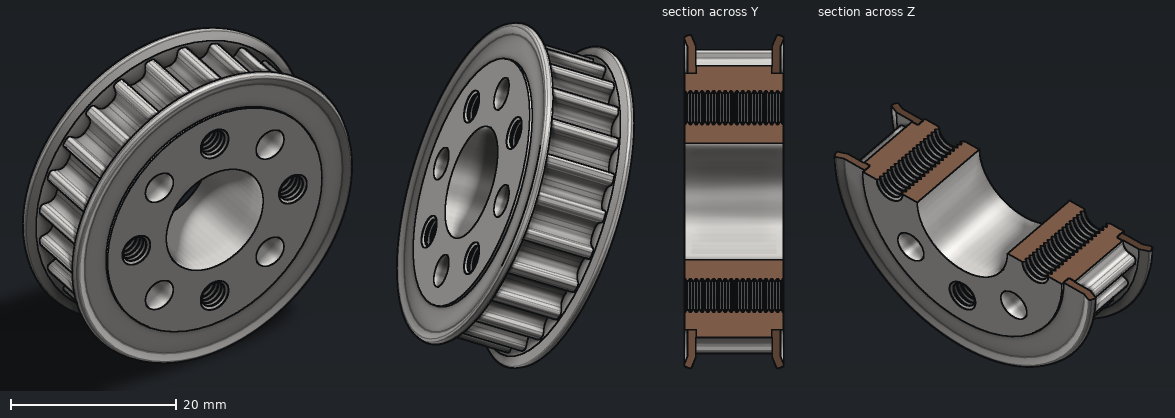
import cadquery as cq
import math

TOOTH_COUNT = 24
TIP_RADIUS = 18.52
GROOVE_DEPTH = 2.05
GROOVE_FLOOR_HALF_WIDTH = 0.32
GROOVE_CORNER_RADIUS = 1.2
GROOVE_WALL_DRAFT = 11.0
TIP_FILLET = 0.5
RIM_WIDTH = 9.25
BODY_WIDTH = 11.97
BOSS_RADIUS = 15.55
BORE_RADIUS = 7.05

OVERALL_WIDTH = 12.1
FLANGE_RADIUS = 20.2
SHEET = 1.0
BEND_ANGLE = 22.5
BEND_RADIUS = 0.32
EDGE_FILLET = 0.3

BOLT_CIRCLE_RADIUS = 11.35
HOLE_COUNT = 4
PLAIN_HOLE_RADIUS = 2.02
THREAD_MINOR_RADIUS = 1.65
THREAD_MAJOR_RADIUS = 2.02
THREAD_PITCH = 0.7
THREAD_FLAT = 0.12

ROOT_RADIUS = TIP_RADIUS - GROOVE_DEPTH
HALF_RIM = RIM_WIDTH / 2
HALF_BODY = BODY_WIDTH / 2
HALF_OVERALL = OVERALL_WIDTH / 2
CIRCLE = 360.0


def x_cylinder(radius, half_length):
    """Cylinder on the X axis, centred on the origin."""
    return cq.Workplane("YZ").circle(radius).extrude(half_length, both=True)


def revolve_about_x(profile):
    """Turn an XY profile (X along the axis, Y radial) into a solid of revolution."""
    return profile.revolve(CIRCLE, (0, 0, 0), (1, 0, 0))


def groove_cutter():
    """Belt groove with a flat floor, rounded corners, drafted walls and rounded tooth tips."""
    draft = math.radians(GROOVE_WALL_DRAFT)
    wall_y = GROOVE_FLOOR_HALF_WIDTH + GROOVE_CORNER_RADIUS * math.cos(draft)
    wall_z = ROOT_RADIUS + GROOVE_CORNER_RADIUS * (1 - math.sin(draft))
    offset_y = wall_y + TIP_FILLET * math.cos(draft)
    offset_z = wall_z - TIP_FILLET * math.sin(draft)
    centre_distance = TIP_RADIUS - TIP_FILLET
    along = offset_y * math.sin(draft) + offset_z * math.cos(draft)
    across = offset_y * math.cos(draft) - offset_z * math.sin(draft)
    wall_length = math.sqrt(centre_distance ** 2 - across ** 2) - along
    rise_y = wall_length * math.sin(draft)
    rise_z = wall_length * math.cos(draft)
    fillet_y = wall_y + rise_y
    fillet_z = wall_z + rise_z
    land_y = (offset_y + rise_y) * TIP_RADIUS / centre_distance
    land_z = (offset_z + rise_z) * TIP_RADIUS / centre_distance
    clear_z = TIP_RADIUS + GROOVE_DEPTH
    profile = (
        cq.Workplane("YZ")
        .moveTo(-GROOVE_FLOOR_HALF_WIDTH, ROOT_RADIUS)
        .lineTo(GROOVE_FLOOR_HALF_WIDTH, ROOT_RADIUS)
        .radiusArc((wall_y, wall_z), -GROOVE_CORNER_RADIUS)
        .lineTo(fillet_y, fillet_z)
        .radiusArc((land_y, land_z), TIP_FILLET)
        .lineTo(land_y, clear_z)
        .lineTo(-land_y, clear_z)
        .lineTo(-land_y, land_z)
        .radiusArc((-fillet_y, fillet_z), TIP_FILLET)
        .lineTo(-wall_y, wall_z)
        .radiusArc((-GROOVE_FLOOR_HALF_WIDTH, ROOT_RADIUS), -GROOVE_CORNER_RADIUS)
        .close()
    )
    return profile.extrude(HALF_RIM, both=True)


def thread_cutter():
    """Threaded hole on the X axis: rings at the thread pitch, opening to full depth at both ends."""
    crest_count = round(BODY_WIDTH / THREAD_PITCH)
    pitch = BODY_WIDTH / crest_count
    half_flat = THREAD_FLAT / 2
    profile = cq.Workplane("XY").moveTo(-HALF_BODY, 0).lineTo(-HALF_BODY, THREAD_MAJOR_RADIUS)
    for crest in range(crest_count):
        start = -HALF_BODY + crest * pitch
        middle = start + pitch / 2
        end = start + pitch
        profile = (
            profile.lineTo(start + half_flat, THREAD_MAJOR_RADIUS)
            .lineTo(middle - half_flat, THREAD_MINOR_RADIUS)
            .lineTo(middle + half_flat, THREAD_MINOR_RADIUS)
            .lineTo(end - half_flat, THREAD_MAJOR_RADIUS)
        )
    profile = profile.lineTo(HALF_BODY, THREAD_MAJOR_RADIUS).lineTo(HALF_BODY, 0).close()
    return revolve_about_x(profile)


def make_pulley():
    """Toothed pulley with its end bosses, bore and axial holes."""
    body = x_cylinder(TIP_RADIUS, HALF_RIM)
    groove = groove_cutter()
    for tooth in range(TOOTH_COUNT):
        angle = tooth * CIRCLE / TOOTH_COUNT
        body = body.cut(groove.rotate((0, 0, 0), (1, 0, 0), angle))
    body = body.union(x_cylinder(BOSS_RADIUS, HALF_BODY))
    body = body.cut(x_cylinder(BORE_RADIUS, HALF_BODY))

    threaded_hole = thread_cutter().translate((0, 0, BOLT_CIRCLE_RADIUS))
    plain_hole = x_cylinder(PLAIN_HOLE_RADIUS, HALF_BODY).translate((0, 0, BOLT_CIRCLE_RADIUS))
    spacing = CIRCLE / HOLE_COUNT
    for hole in range(HOLE_COUNT):
        angle = hole * spacing
        body = body.cut(threaded_hole.rotate((0, 0, 0), (1, 0, 0), angle))
        body = body.cut(plain_hole.rotate((0, 0, 0), (1, 0, 0), angle + spacing / 2))
    return body


def make_flange():
    """Flange at the +X end of the pulley."""
    bend = math.radians(BEND_ANGLE)
    trim = EDGE_FILLET * (math.sin(bend) + math.cos(bend) - 1)
    front_lip_x = HALF_OVERALL + trim
    back_lip_radius = FLANGE_RADIUS + trim
    back_lip_x = front_lip_x - SHEET * math.cos(bend)
    front_lip_radius = back_lip_radius - SHEET * math.sin(bend)
    back_bend_radius = back_lip_radius - (back_lip_x - HALF_RIM) / math.tan(bend)
    front_bend_radius = back_bend_radius - SHEET * math.tan(bend / 2)
    front_x = HALF_RIM + SHEET
    section = (
        cq.Workplane("XY")
        .moveTo(HALF_RIM, BOSS_RADIUS)
        .lineTo(HALF_RIM, back_bend_radius)
        .lineTo(back_lip_x, back_lip_radius)
        .lineTo(front_lip_x, front_lip_radius)
        .lineTo(front_x, front_bend_radius)
        .lineTo(front_x, BOSS_RADIUS)
        .close()
    )
    flange = revolve_about_x(section)
    front_bend = cq.selectors.RadiusNthSelector(1)
    back_lip = cq.selectors.RadiusNthSelector(-1)
    flange = flange.edges(front_bend).fillet(BEND_RADIUS)
    flange = flange.edges(">X").fillet(EDGE_FILLET)
    return flange.edges(back_lip).fillet(EDGE_FILLET)


pulley = make_pulley()
right_flange = make_flange()
left_flange = right_flange.mirror("YZ")

result = cq.Compound.makeCompound([pulley.val(), left_flange.val(), right_flange.val()])